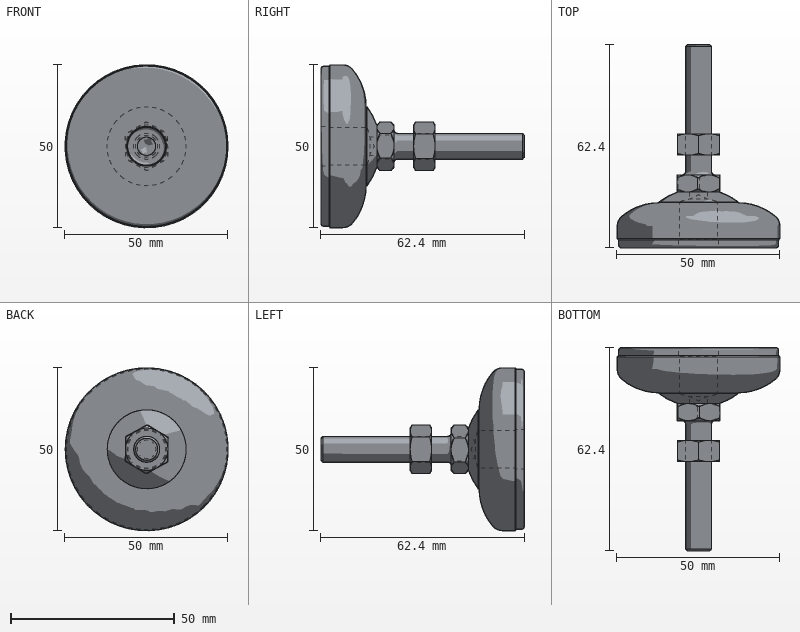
import cadquery as cq
import math

TURN_AXIS = ((0, 0, 0), (0, 1, 0))

PAD_RADIUS = 24.6
PAD_THICKNESS = 2.5
PAD_BORE_RADIUS = 6.1
PAD_FILLET = 1.0

FOOT_DIAMETER = 50.0
FOOT_RADIUS = FOOT_DIAMETER / 2
FOOT_RIM_CHAMFER = 0.4
FOOT_WALL_TOP = 6.7
SHOULDER_RADIUS = 4.0
SHOULDER_TOP = 9.75
DOME_BASE_RADIUS = 12.1
DOME_BASE_Y = 14.15
DOME_STEP = 0.25
SEAT_Y = 17.15
DOME_WALL = 3.0
BORE_MOUTH_CHAMFER = 0.3
FOOT_BORE_RADIUS = PAD_BORE_RADIUS - BORE_MOUTH_CHAMFER
ROOF_FILLET = 1.0

ACROSS_FLATS = 13.0
HEX_INRADIUS = ACROSS_FLATS / 2
HEX_HALF_SIDE_ANGLE = 30
HEX_CIRCUMRADIUS = HEX_INRADIUS / math.cos(math.radians(HEX_HALF_SIDE_ANGLE))
SEAT_RADIUS = HEX_INRADIUS

STEM_RADIUS = 4.0
STEM_END_Y = 62.4
STEM_END_CHAMFER = 0.6
STEM_HEX_HEIGHT = 5.3
STEM_HEX_BEVEL = 45
STEM_HEX_TURN = 2
STEM_ROOT_FILLET = 1.0
STUB_RADIUS = 2.8
TIP_RADIUS = 2.05
TIP_SLOPE = 28
MOUTH_SLOPE = 21

NUT_BASE_Y = 28.45
NUT_HEIGHT = 6.55
NUT_BEVEL = 30

DOME_HEIGHT = SEAT_Y - DOME_BASE_Y
DOME_CENTRE_Y = (SEAT_Y + DOME_BASE_Y) / 2 - (DOME_BASE_RADIUS**2 - SEAT_RADIUS**2) / (2 * DOME_HEIGHT)
DOME_SPHERE_RADIUS = math.hypot(SEAT_RADIUS, SEAT_Y - DOME_CENTRE_Y)
ROOF_SPHERE_RADIUS = DOME_SPHERE_RADIUS - DOME_WALL


def sphere_point(sphere_radius, radius):
    """Profile point at a given radius on a sphere concentric with the dome."""
    return radius, DOME_CENTRE_Y + math.sqrt(sphere_radius**2 - radius**2)


def turned(profile):
    """Revolve a closed (radius, Y) profile about the Y axis."""
    return profile.close().revolve(360, *TURN_AXIS)


def cylinder(radius, base_y, height):
    return cq.Workplane("XZ", origin=(0, base_y, 0)).circle(radius).extrude(-height)


def bevelled_hex(base_y, height, bevel_degrees):
    """Hexagon with flats facing X, its corners turned off by a cone at each end."""
    prism = (
        cq.Workplane("XZ", origin=(0, base_y, 0))
        .transformed(rotate=(0, 0, HEX_HALF_SIDE_ANGLE))
        .polygon(6, 2 * HEX_CIRCUMRADIUS)
        .extrude(-height)
    )
    bevel_height = (HEX_CIRCUMRADIUS - HEX_INRADIUS) * math.tan(math.radians(bevel_degrees))
    top_y = base_y + height
    envelope = turned(
        cq.Workplane("XY")
        .moveTo(0, base_y)
        .lineTo(HEX_INRADIUS, base_y)
        .lineTo(HEX_CIRCUMRADIUS, base_y + bevel_height)
        .lineTo(HEX_CIRCUMRADIUS, top_y - bevel_height)
        .lineTo(HEX_INRADIUS, top_y)
        .lineTo(0, top_y)
    )
    return prism.intersect(envelope)


def make_pad():
    """Flat ring with a rounded floor edge."""
    return turned(
        cq.Workplane("XY")
        .moveTo(PAD_BORE_RADIUS, 0)
        .lineTo(PAD_RADIUS - PAD_FILLET, 0)
        .radiusArc((PAD_RADIUS, PAD_FILLET), -PAD_FILLET)
        .lineTo(PAD_RADIUS, PAD_THICKNESS)
        .lineTo(PAD_BORE_RADIUS, PAD_THICKNESS)
    )


def foot_blank():
    """Solid foot: straight wall, rounded crown and a spherical dome with a flat seat."""
    shoulder_inset = SHOULDER_RADIUS - math.sqrt(SHOULDER_RADIUS**2 - (SHOULDER_TOP - FOOT_WALL_TOP) ** 2)
    dome_middle = sphere_point(DOME_SPHERE_RADIUS, (DOME_BASE_RADIUS + SEAT_RADIUS) / 2)
    return turned(
        cq.Workplane("XY")
        .moveTo(0, PAD_THICKNESS)
        .lineTo(FOOT_RADIUS - FOOT_RIM_CHAMFER, PAD_THICKNESS)
        .lineTo(FOOT_RADIUS, PAD_THICKNESS + FOOT_RIM_CHAMFER)
        .lineTo(FOOT_RADIUS, FOOT_WALL_TOP)
        .tangentArcPoint((FOOT_RADIUS - shoulder_inset, SHOULDER_TOP), relative=False)
        .tangentArcPoint((DOME_BASE_RADIUS, DOME_BASE_Y - DOME_STEP), relative=False)
        .lineTo(DOME_BASE_RADIUS, DOME_BASE_Y)
        .threePointArc(dome_middle, (SEAT_RADIUS, SEAT_Y))
        .lineTo(0, SEAT_Y)
    )


def foot_bore():
    """Blind bore with a chamfered mouth and a domed roof, rounded where wall and roof meet."""
    wall_top = sphere_point(ROOF_SPHERE_RADIUS, FOOT_BORE_RADIUS)
    roof_middle = sphere_point(ROOF_SPHERE_RADIUS, FOOT_BORE_RADIUS / 2)
    roof_centre = sphere_point(ROOF_SPHERE_RADIUS, 0)
    bore = turned(
        cq.Workplane("XY")
        .moveTo(0, PAD_THICKNESS)
        .lineTo(PAD_BORE_RADIUS, PAD_THICKNESS)
        .lineTo(FOOT_BORE_RADIUS, PAD_THICKNESS + BORE_MOUTH_CHAMFER)
        .lineTo(*wall_top)
        .threePointArc(roof_middle, roof_centre)
    )
    return bore.faces("%SPHERE").edges("<Y").fillet(ROOF_FILLET)


def make_foot():
    stub_hole = cylinder(STUB_RADIUS, PAD_THICKNESS, SEAT_Y - PAD_THICKNESS)
    return foot_blank().cut(foot_bore()).cut(stub_hole)


def make_stem():
    """Turned rod with a hexagon at its root and a centre-drilled stub through the foot."""
    hex_top = SEAT_Y + STEM_HEX_HEIGHT
    stub_end_y = sphere_point(ROOF_SPHERE_RADIUS, STUB_RADIUS)[1]
    mouth_depth = (STUB_RADIUS - TIP_RADIUS) * math.tan(math.radians(MOUTH_SLOPE))
    tip_depth = TIP_RADIUS * math.tan(math.radians(TIP_SLOPE))
    rod = turned(
        cq.Workplane("XY")
        .moveTo(0, stub_end_y + mouth_depth + tip_depth)
        .lineTo(TIP_RADIUS, stub_end_y + mouth_depth)
        .lineTo(STUB_RADIUS, stub_end_y)
        .lineTo(STUB_RADIUS, hex_top)
        .lineTo(STEM_RADIUS + STEM_ROOT_FILLET, hex_top)
        .radiusArc((STEM_RADIUS, hex_top + STEM_ROOT_FILLET), STEM_ROOT_FILLET)
        .lineTo(STEM_RADIUS, STEM_END_Y - STEM_END_CHAMFER)
        .lineTo(STEM_RADIUS - STEM_END_CHAMFER, STEM_END_Y)
        .lineTo(0, STEM_END_Y)
    )
    hexagon = bevelled_hex(SEAT_Y, STEM_HEX_HEIGHT, STEM_HEX_BEVEL)
    return rod.union(hexagon.rotate(*TURN_AXIS, -STEM_HEX_TURN))


def make_nut():
    """Hexagon nut with a plain bore that fits the stem."""
    bore = cylinder(STEM_RADIUS, NUT_BASE_Y, NUT_HEIGHT)
    return bevelled_hex(NUT_BASE_Y, NUT_HEIGHT, NUT_BEVEL).cut(bore)


pad = make_pad().solids()
foot = make_foot().solids()
stem = make_stem().solids()
nut = make_nut().solids()

result = cq.Compound.makeCompound([pad.val(), foot.val(), stem.val(), nut.val()])